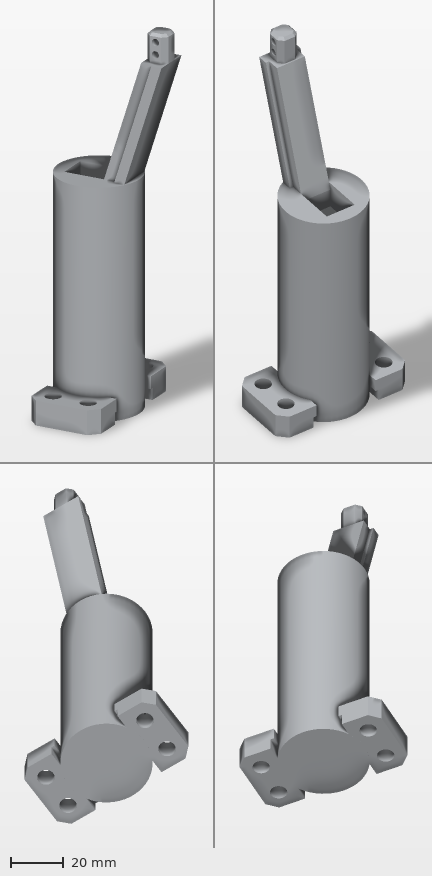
import cadquery as cq

HOUSING_DIAMETER = 35.0
HOUSING_HEIGHT = 95.0
SLOT_LEFT = -11.5
SLOT_DEPTH = 11.0
SLOT_FLOOR = HOUSING_HEIGHT - SLOT_DEPTH

FOOT_WIDTH = 30.0
FOOT_HEIGHT = 10.0
FEET_SPAN = 60.0
FOOT_INNER_Y = 13.7
FOOT_CORNER_CHAMFER = 4.0
FOOT_STEP_HEIGHT = 4.9
FOOT_STEP_SETBACK = 1.4
FOOT_HOLE_DIAMETER = 6.6
FOOT_HOLE_SPACING = 15.0
FOOT_HOLE_Y = 22.6

LEVER_LENGTH_X = 9.5
WEB_LENGTH_X = 5.2
WEB_WIDTH = 12.9
FLANGE_WIDTH = 16.0
LEVER_FOOT_LEFT = 4.7
LEVER_LEAN = 17.0
LEVER_FOOT_RIGHT = LEVER_FOOT_LEFT + LEVER_LENGTH_X
LEVER_TOP_RIGHT = LEVER_FOOT_RIGHT + LEVER_LEAN
BEND_DEPTH = 3.0
BEND_Z = HOUSING_HEIGHT - BEND_DEPTH

TOTAL_HEIGHT = 157.0
TIP_HEIGHT = 12.0
TIP_SIDE = 9.0
TIP_CORNER_CHAMFER = 2.0
TIP_TOP_CHAMFER = 1.1
TIP_HOLE_DIAMETER = 3.0
TIP_HOLE_SPACING = 5.0
TIP_UPPER_HOLE_DEPTH = 3.5
LEVER_TOP = TOTAL_HEIGHT - TIP_HEIGHT
TIP_CENTER_X = LEVER_TOP_RIGHT - TIP_SIDE / 2


def bent_bar(inset, width):
    """Bar bent in the XZ plane, its left side moved right by inset, centred on Y = 0."""
    left = LEVER_FOOT_LEFT + inset
    outline = [
        (left, SLOT_FLOOR),
        (left, BEND_Z),
        (left + LEVER_LEAN, LEVER_TOP),
        (LEVER_TOP_RIGHT, LEVER_TOP),
        (LEVER_FOOT_RIGHT, BEND_Z),
        (LEVER_FOOT_RIGHT, SLOT_FLOOR),
    ]
    return cq.Workplane("XZ").polyline(outline).close().extrude(width / 2, both=True)


def make_lever():
    web = bent_bar(0, WEB_WIDTH)
    flange = bent_bar(WEB_LENGTH_X, FLANGE_WIDTH)
    return web.union(flange)


def make_housing(lever):
    cylinder = cq.Workplane("XY").circle(HOUSING_DIAMETER / 2).extrude(HOUSING_HEIGHT)
    rim_right = LEVER_FOOT_LEFT + LEVER_LEAN * BEND_DEPTH / (LEVER_TOP - BEND_Z)
    slot_outline = [
        (SLOT_LEFT, SLOT_FLOOR),
        (LEVER_FOOT_LEFT, SLOT_FLOOR),
        (LEVER_FOOT_LEFT, BEND_Z),
        (rim_right, HOUSING_HEIGHT),
        (SLOT_LEFT, HOUSING_HEIGHT),
    ]
    open_slot = cq.Workplane("XZ").polyline(slot_outline).close().extrude(WEB_WIDTH / 2, both=True)
    return cylinder.cut(open_slot).cut(lever)


def make_foot():
    """Foot on the +Y side, stepped back at the base and hollowed to fit the housing."""
    length = FEET_SPAN / 2 - FOOT_INNER_Y
    block = (
        cq.Workplane("XY", origin=(0, FOOT_INNER_Y, 0))
        .box(FOOT_WIDTH, length, FOOT_HEIGHT, centered=(True, False, False))
        .edges("|Z and >Y").chamfer(FOOT_CORNER_CHAMFER)
    )
    step = (
        cq.Workplane("XY", origin=(0, FOOT_INNER_Y, 0))
        .box(FOOT_WIDTH, FOOT_STEP_SETBACK, FOOT_STEP_HEIGHT, centered=(True, False, False))
    )
    housing_seat = cq.Workplane("XY").circle(HOUSING_DIAMETER / 2).extrude(FOOT_HEIGHT)
    screw_holes = (
        cq.Workplane("XY", origin=(0, FOOT_HOLE_Y, 0))
        .rarray(FOOT_HOLE_SPACING, 1.5, 2, 1)
        .circle(FOOT_HOLE_DIAMETER / 2).extrude(FOOT_HEIGHT)
    )
    return block.cut(step).cut(housing_seat).cut(screw_holes)


def make_tip():
    post = (
        cq.Workplane("XY", origin=(TIP_CENTER_X, 0, LEVER_TOP))
        .rect(TIP_SIDE, TIP_SIDE).extrude(TIP_HEIGHT)
        .edges("|Z").chamfer(TIP_CORNER_CHAMFER)
        .faces(">Z").chamfer(TIP_TOP_CHAMFER)
    )
    upper_hole_z = TOTAL_HEIGHT - TIP_UPPER_HOLE_DEPTH
    cross_holes = (
        cq.Workplane("XZ", origin=(TIP_CENTER_X, 0, upper_hole_z))
        .pushPoints([(0, 0), (0, -TIP_HOLE_SPACING)])
        .circle(TIP_HOLE_DIAMETER / 2).extrude(TIP_SIDE / 2, both=True)
    )
    return post.cut(cross_holes)


lever = make_lever()
housing = make_housing(lever)
tip = make_tip()

feet = []
for angle in (0, 180):
    feet.append(make_foot().rotate((0, 0, 0), (0, 0, 1), angle).val())

result = cq.Compound.makeCompound([housing.val(), lever.val(), tip.val(), *feet])